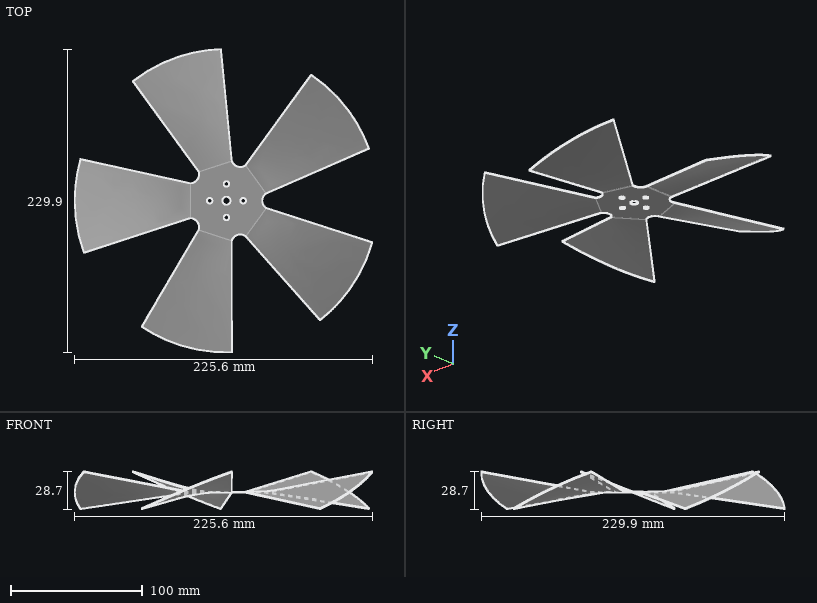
import cadquery as cq
import math

blade_count = 5
sheet = 0.8
fan_radius = 115.0
hub_inradius = 27.5
notch_radius = 6.7
shaft_hole_diameter = 6.0
bolt_hole_diameter = 4.0
bolt_circle_radius = 12.7
bolt_count = 4

blade_pitch = 22.0
tip_leading = 45.0
tip_trailing = 35.0

sector = 360.0 / blade_count
half_sector = math.radians(sector / 2)
hub_corner_radius = hub_inradius / math.cos(half_sector)
root_half_width = hub_inradius * math.tan(half_sector) - notch_radius


def hub_plate():
    """Pentagon centred on Z = 0, with corners relieved and holes drilled."""
    plate = (
        cq.Workplane("XY")
        .polygon(blade_count, 2 * hub_corner_radius)
        .extrude(sheet / 2, both=True)
    )
    notches = (
        cq.Workplane("XY")
        .polarArray(hub_corner_radius, 0, 360, blade_count)
        .circle(notch_radius)
        .extrude(sheet, both=True)
    )
    shaft_hole = (
        cq.Workplane("XY")
        .circle(shaft_hole_diameter / 2)
        .extrude(sheet, both=True)
    )
    bolt_holes = (
        cq.Workplane("XY")
        .polarArray(bolt_circle_radius, 0, 360, bolt_count)
        .circle(bolt_hole_diameter / 2)
        .extrude(sheet, both=True)
    )
    return plate.cut(notches).cut(shaft_hole).cut(bolt_holes)


def blade_section(x, leading, trailing, pitch):
    """Thin rectangle across the blade at x, from -leading to +trailing, tilted by pitch."""
    corners = [
        cq.Vector(x, -leading, -sheet / 2),
        cq.Vector(x, trailing, -sheet / 2),
        cq.Vector(x, trailing, sheet / 2),
        cq.Vector(x, -leading, sheet / 2),
    ]
    outline = cq.Wire.makePolygon(corners, close=True)
    return outline.rotate(cq.Vector(0, 0, 0), cq.Vector(1, 0, 0), -pitch)


def blade():
    """Ruled twist from the flat root to the pitched tip, trimmed to the fan circle."""
    root = blade_section(-hub_inradius, root_half_width, root_half_width, 0)
    tip = blade_section(-fan_radius, tip_leading, tip_trailing, blade_pitch)
    twisted = cq.Solid.makeLoft([root, tip], True)
    envelope = cq.Workplane("XY").circle(fan_radius).extrude(fan_radius, both=True)
    return cq.Workplane("XY").add(twisted).intersect(envelope)


def fan():
    """Hub with one blade joined to each of its sides."""
    body = hub_plate()
    first_blade = blade()
    for index in range(blade_count):
        body = body.union(first_blade.rotate((0, 0, 0), (0, 0, 1), index * sector))
    return body


result = fan()